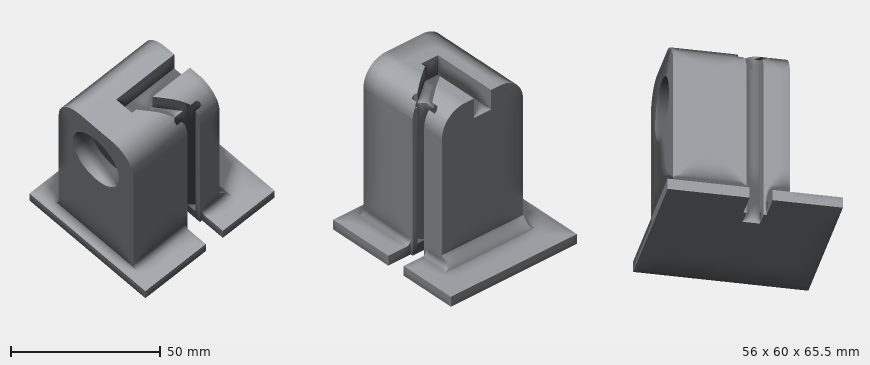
import cadquery as cq

plate_x = 56.0
plate_y = 60.0
plate_z = 4.0

total_height = 65.5
body_width = 36.0
body_length = 40.0
front_margin = 4.0
top_radius = 10.0
body_front = -plate_y / 2 + front_margin
body_back = body_front + body_length
side_fillet = 2.0
back_chamfer = 4.0

bore_diameter = 22.4
bore_depth = 8.0
bore_below_top = 18.0

straight_depth = 8.0
branch_depth = 6.0
slot_width = 7.6
slot_front = -13.0
branch_width = 6.0
branch_start = (0.0, -10.1)

channel_y = 2.0
neck_width = 5.9
pocket_width = 11.85
pocket_bottom_x = 11.9
lip_thickness = 2.1
lip_x = body_width / 2 - lip_thickness
pocket_roof = total_height - 2.0
plate_notch_width = 7.85
branch_end = (15.7, channel_y)


def make_plate():
    return cq.Workplane("XY").box(plate_x, plate_y, plate_z, centered=(True, True, False))


def make_body():
    """Round-topped upright with concave side feet and a sloping back foot."""
    half = body_width / 2
    foot_top = plate_z + side_fillet
    upright = (
        cq.Workplane("XY", origin=(0, body_front, plate_z))
        .box(body_width, body_length + back_chamfer, total_height - plate_z, centered=(True, False, False))
        .edges("|Y and >Z")
        .fillet(top_radius)
    )
    feet = (
        cq.Workplane("XZ", origin=(0, body_front, 0))
        .moveTo(-half - side_fillet, plate_z)
        .radiusArc((-half, foot_top), -side_fillet)
        .lineTo(half, foot_top)
        .radiusArc((half + side_fillet, plate_z), -side_fillet)
        .close()
        .extrude(-(body_length + back_chamfer))
    )
    side_profile = (
        cq.Workplane("YZ")
        .polyline([
            (body_front, plate_z),
            (body_back + back_chamfer, plate_z),
            (body_back, plate_z + back_chamfer),
            (body_back, total_height),
            (body_front, total_height),
        ])
        .close()
        .extrude(plate_x / 2, both=True)
    )
    return upright.union(feet).intersect(side_profile)


def make_bore():
    return (
        cq.Workplane("XZ", origin=(0, body_front, total_height - bore_below_top))
        .circle(bore_diameter / 2)
        .extrude(-bore_depth)
    )


def make_top_slots():
    """Straight slot open at the back, with an oblique branch to the T-slot."""
    straight_floor = cq.Workplane("XY", origin=(0, 0, total_height - straight_depth))
    branch_floor = cq.Workplane("XY", origin=(0, 0, total_height - branch_depth))
    straight_length = body_back - slot_front
    straight = (
        straight_floor.center(0, slot_front + straight_length / 2)
        .rect(slot_width, straight_length)
        .extrude(straight_depth)
    )
    start = cq.Vector(*branch_start)
    run = cq.Vector(*branch_end) - start
    side = cq.Vector(-run.y, run.x).normalized() * (branch_width / 2)
    corners = [start + side, start + run + side, start + run - side, start - side]
    branch = branch_floor.polyline([(p.x, p.y) for p in corners]).close().extrude(branch_depth)
    right_half = cq.Workplane("XY").box(
        plate_x, plate_y, total_height, centered=(False, True, False)
    )
    return straight.union(branch.intersect(right_half))


def x_channel(start_x, end_x, width, height):
    """Rectangular channel from Z = 0 on the T-slot centreline."""
    return cq.Workplane("XY", origin=(start_x, channel_y, 0)).box(
        end_x - start_x, width, height, centered=(False, True, False)
    )


def make_t_slot():
    """Neck through the plate, a wider pocket above it and a wide plate notch."""
    neck = x_channel(pocket_bottom_x, plate_x / 2, neck_width, pocket_roof)
    notch = x_channel(body_width / 2, plate_x / 2, plate_notch_width, plate_z + side_fillet)
    half_neck = neck_width / 2
    half_pocket = pocket_width / 2
    shoulder_x = pocket_bottom_x + half_pocket - half_neck
    pocket = (
        cq.Workplane("XY", origin=(0, channel_y, plate_z))
        .polyline([
            (pocket_bottom_x, -half_neck),
            (shoulder_x, -half_pocket),
            (lip_x, -half_pocket),
            (lip_x, half_pocket),
            (shoulder_x, half_pocket),
            (pocket_bottom_x, half_neck),
        ])
        .close()
        .extrude(pocket_roof - plate_z)
    )
    return neck.union(notch).union(pocket)


result = make_plate().union(make_body())
result = result.cut(make_bore()).cut(make_top_slots()).cut(make_t_slot())